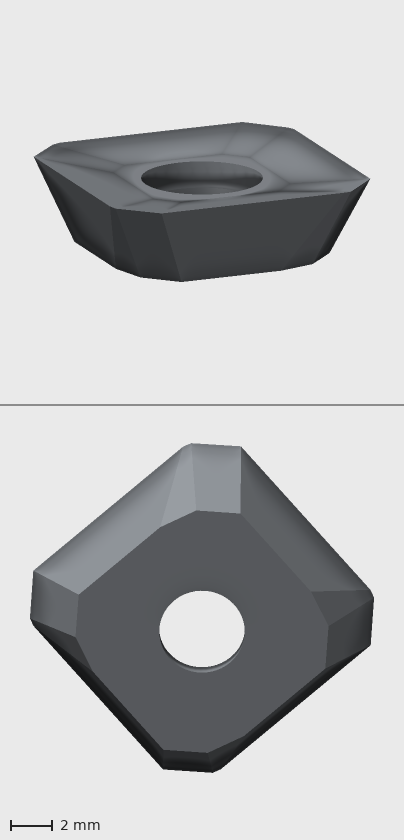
import cadquery as cq
import math


width = 13.39
height = 3.96
corners = 4

top_half_width = width / 2
top_corner_apothem = 8.2
top_wiper_start = 4.59
bottom_half_width = 5.26
bottom_corner_apothem = 6.03
bottom_wiper_start = 1.9
wiper_angle = 15.0

dish_depth = 0.51
floor_half_width = 3.53
floor_corner_apothem = 4.28

bore_diameter = 4.1
seat_mouth_diameter = 5.84
seat_bottom_diameter = 5.76
blend_end_diameter = 5.41
seat_depth = 0.95
blend_depth = 0.3
bore_length = 0.56


def repeat_around(points):
    """Repeat a corner's points at every 90 degree step about Z."""
    ring = []
    for _ in range(corners):
        ring += points
        points = [(-y, x) for x, y in points]
    return ring


def wiper_end(half_width, corner_apothem, wiper_start):
    """Point where the wiper facet, turning inward from the +X side, meets the corner cut."""
    slope = math.tan(math.radians(wiper_angle))
    run = (math.sqrt(2) * corner_apothem - half_width - wiper_start) / (1 - slope)
    return half_width - run * slope, wiper_start + run


def side_end(half_width, corner_apothem):
    """Point where the corner cut meets the +Y side."""
    return math.sqrt(2) * corner_apothem - half_width, half_width


def flank_outline(half_width, corner_apothem, wiper_start):
    return repeat_around([
        (half_width, wiper_start),
        wiper_end(half_width, corner_apothem, wiper_start),
        side_end(half_width, corner_apothem),
    ])


def ruled_solid(lower, lower_z, upper, upper_z):
    """Solid with straight-ruled sides between two outlines of equal point count."""
    wires = []
    for outline, z in ((lower, lower_z), (upper, upper_z)):
        wires.append(cq.Wire.makePolygon([cq.Vector(x, y, z) for x, y in outline], close=True))
    return cq.Workplane(obj=cq.Solid.makeLoft(wires, True))


def make_body():
    bottom = flank_outline(bottom_half_width, bottom_corner_apothem, bottom_wiper_start)
    top = flank_outline(top_half_width, top_corner_apothem, top_wiper_start)
    return ruled_solid(bottom, 0, top, height)


def make_dish():
    """Dish whose creases run from the floor octagon to the ends of each corner cut."""
    floor_y, floor_x = side_end(floor_half_width, floor_corner_apothem)
    floor = repeat_around([(floor_x, floor_y), (floor_y, floor_x)])

    wiper_x, wiper_y = wiper_end(top_half_width, top_corner_apothem, top_wiper_start)
    crease_slope = (wiper_y - floor_y) / (wiper_x - floor_x)
    crease_y = floor_y + (top_half_width - floor_x) * crease_slope
    rim = repeat_around([
        (top_half_width, crease_y),
        side_end(top_half_width, top_corner_apothem),
    ])
    return ruled_solid(floor, height - dish_depth, rim, height)


def make_screw_hole():
    """Revolved hole; the blend starts vertical and the countersink runs tangentially into the bore."""
    seat_z = height - dish_depth - seat_depth
    blend_end = (blend_end_diameter / 2, seat_z - blend_depth)
    bore_radius = bore_diameter / 2
    seat_bottom_radius = seat_bottom_diameter / 2
    mouth_radius = seat_mouth_diameter / 2

    inward_step = seat_bottom_radius - blend_end[0]
    blend_radius = (blend_depth ** 2 + inward_step ** 2) / (2 * inward_step)

    return (
        cq.Workplane("XZ")
        .lineTo(bore_radius, 0)
        .lineTo(bore_radius, bore_length)
        .tangentArcPoint(blend_end, relative=False)
        .radiusArc((seat_bottom_radius, seat_z), -blend_radius)
        .lineTo(mouth_radius, height - dish_depth)
        .lineTo(mouth_radius, height)
        .lineTo(0, height)
        .close()
        .revolve(360, (0, 0), (0, 1))
    )


result = make_body().cut(make_dish()).cut(make_screw_hole())